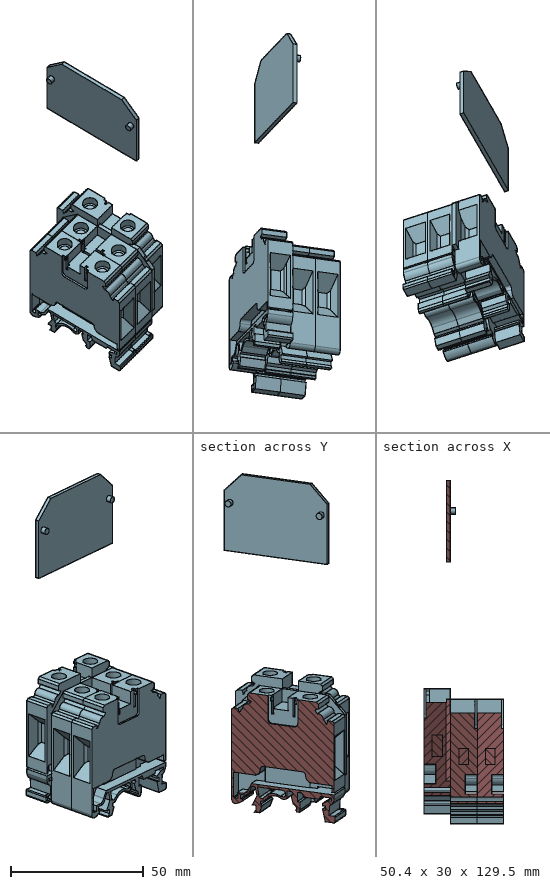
import cadquery as cq


STACK_DEPTH = 30.0
HOUSING_COUNT = 3
HOUSING_DEPTH = STACK_DEPTH / HOUSING_COUNT
HOUSING_WIDTH = 42.6
HOUSING_TOP = 47.0
HEAD_CHAMFER = 0.8
SHOULDER_RADIUS = 2.1
HOOK_RADIUS = 1.5
REAR_SHIFT_X = -2.7
REAR_RAISE = 3.9

STRIP_TOP = 11.3
STRIP_UNDERSIDE = 10.1
SLOT_START = 33.5
SLOT_HEIGHT = 0.8

RECESS_SIDE_DEPTH = 4.8
RECESS_MIDDLE_DEPTH = 4.4
RECESS_MIDDLE_LEFT = 12.0
RECESS_MIDDLE_RIGHT = 30.6
RECESS_SIDE_TOP = 14.6
RECESS_MIDDLE_TOP = 18.5
RECESS_LEFT = 0.9
RECESS_RIGHT = 41.5

BACK_POCKET_DEPTH = 1.3
BACK_POCKET_RIGHT = 41.8
BACK_POCKET_TOP = 15.3
BACK_POCKET_RADIUS = 0.8
FOOT_POCKET_LEFT = 40.2
FOOT_POCKET_RIGHT = 42.1
FOOT_POCKET_BOTTOM = 0.8
FOOT_POCKET_TOP = 2.7

NOTCH_LEFT = 16.6
NOTCH_RIGHT = 23.2
NOTCH_FLOOR = 41.8
MARKER_LEFT = 15.2
MARKER_RIGHT = 27.3
MARKER_BOTTOM = 36.0
MARKER_RADIUS = 1.4
MARKER_DEPTH = 0.8
GROOVE_WIDTH = 0.8
GROOVE_INSET = 1.3
GROOVE_BOTTOM = 39.8
GROOVE_DEPTH = 1.3
GROOVE_HEAD_OVERHANG = 0.5
GROOVE_HEAD_HEIGHT = 1.4
GROOVE_HEAD_TOP = 46.1

SCREW_XS = (12.3, 30.3)
SCREW_Y = 5.5
SCREW_HOLE_DIAMETER = 5.6
SCREW_HOLE_DEPTH = 3.4
SCREW_DIAMETER = 3.9

FUNNEL_BOTTOM = 16.8
FUNNEL_TOP = 34.3
FUNNEL_WIDTH = 8.0
FUNNEL_WAIST_WIDTH = 5.7
FUNNEL_WAIST_SHARE = 0.82
LEFT_FUNNEL_END = (5.7, 3.4, 22.4, 28.4)
RIGHT_FUNNEL_END = (4.9, 3.9, 21.5, 29.5)

PLATE_HEIGHT = 30.8
PLATE_THICKNESS = 1.5
PLATE_CHAMFER = 7.0
PIN_DIAMETER = 2.5
PIN_LENGTH = 2.0
PIN_INSET = 2.5
PIN_DROP = 11.5
PLATE_Y = (HOUSING_COUNT - 1) * HOUSING_DEPTH
SPARE_PLATE_X = -7.4
SPARE_PLATE_TOP = 129.4


def extrude_from_front(outline, start_y, depth):
    """Extrude an outline drawn in X and Z from start_y towards +Y."""
    return outline.extrude(-depth).translate((0, start_y, 0))


def box(x0, x1, y0, y1, z0, z1):
    return cq.Workplane("XY").box(x1 - x0, y1 - y0, z1 - z0, centered=False).translate((x0, y0, z0))


def housing_blank():
    """The outer profile: stepped shoulders, closed wall at the left, rail feet below."""
    right = HOUSING_WIDTH
    outline = (
        cq.Workplane("XZ")
        .moveTo(0, 3.9)
        .lineTo(0, 39.5)
        .lineTo(0.8, 40.3)
        .lineTo(2.8, 40.3)
        .lineTo(3.2, 38.7)
        .lineTo(3.9, 39.8)
        .lineTo(4.5, 40.4)
        .radiusArc((6.6, 42.5), SHOULDER_RADIUS)
        .lineTo(7.0, 42.5)
        .lineTo(8.0, 43.7)
        .lineTo(6.6, 44.3)
        .lineTo(6.6, HOUSING_TOP - HEAD_CHAMFER)
        .lineTo(6.6 + HEAD_CHAMFER, HOUSING_TOP)
        .lineTo(right - 6.6 - HEAD_CHAMFER, HOUSING_TOP)
        .lineTo(right - 6.6, HOUSING_TOP - HEAD_CHAMFER)
        .lineTo(right - 6.6, 44.3)
        .lineTo(right - 8.0, 43.7)
        .lineTo(right - 7.0, 42.5)
        .lineTo(right - 6.6, 42.5)
        .radiusArc((right - 4.5, 40.4), SHOULDER_RADIUS)
        .lineTo(right - 3.9, 39.8)
        .lineTo(right - 3.2, 38.7)
        .lineTo(right - 2.8, 40.3)
        .lineTo(right - 0.8, 40.3)
        .lineTo(right, 39.5)
        .lineTo(right, 9.5)
        .threePointArc((42.0, 7.9), (40.7, 6.7))
        .lineTo(40.4, 2.8)
        .lineTo(42.6, 2.8)
        .lineTo(43.0, 2.5)
        .lineTo(43.0, 0.6)
        .lineTo(42.5, 0)
        .lineTo(38.7, 0)
        .lineTo(37.5, 4.9)
        .lineTo(38.7, 4.7)
        .lineTo(38.7, 6.2)
        .lineTo(37.7, 6.2)
        .lineTo(37.5, 7.1)
        .lineTo(40.0, 8.7)
        .lineTo(41.3, 8.7)
        .lineTo(41.3, 9.7)
        .lineTo(36.8, 9.7)
        .lineTo(36.3, 8.5)
        .lineTo(29.8, 8.5)
        .lineTo(29.1, STRIP_UNDERSIDE)
        .lineTo(27.3, STRIP_UNDERSIDE)
        .lineTo(27.3, 6.6)
        .lineTo(28.5, 6.6)
        .lineTo(28.5, 3.5)
        .lineTo(28.1, 2.3)
        .lineTo(27.0, 2.3)
        .lineTo(26.5, 3.1)
        .lineTo(27.0, 3.5)
        .lineTo(26.5, 4.7)
        .lineTo(25.4, 5.5)
        .lineTo(24.6, 8.5)
        .lineTo(25.4, 9.2)
        .lineTo(25.0, STRIP_UNDERSIDE)
        .lineTo(23.0, STRIP_UNDERSIDE)
        .lineTo(23.0, 7.4)
        .threePointArc((21.9, 6.6), (20.7, 6.7))
        .threePointArc((17.7, 7.5), (15.3, 6.6))
        .lineTo(13.5, 4.9)
        .lineTo(12.2, 4.7)
        .lineTo(12.2, 3.5)
        .lineTo(12.8, 3.1)
        .lineTo(11.7, 0)
        .lineTo(9.7, 0)
        .lineTo(9.3, -0.1)
        .lineTo(10.1, 1.2)
        .lineTo(10.1, 2.7)
        .lineTo(8.5, 2.7)
        .lineTo(10.5, 6.6)
        .lineTo(9.7, STRIP_UNDERSIDE)
        .lineTo(8.5, STRIP_UNDERSIDE)
        .lineTo(7.6, 8.0)
        .threePointArc((7.0, 6.9), (6.0, 6.2))
        .lineTo(3.9, 6.2)
        .lineTo(3.9, 4.7)
        .lineTo(4.7, 4.7)
        .lineTo(4.7, 3.9)
        .threePointArc((3.5, 3.0), (1.5, 2.3))
        .radiusArc((0, 3.9), HOOK_RADIUS)
        .close()
    )
    return extrude_from_front(outline, 0, HOUSING_DEPTH)


def spring_window():
    """Opening between the base strip and the bowed spring, through the housing."""
    outline = (
        cq.Workplane("XZ")
        .moveTo(10.9, STRIP_UNDERSIDE)
        .lineTo(21.1, STRIP_UNDERSIDE)
        .threePointArc((22.0, 9.7), (22.3, 9.0))
        .lineTo(22.3, 8.2)
        .lineTo(21.9, 7.8)
        .lineTo(20.3, 7.8)
        .threePointArc((17.9, 8.5), (14.5, 7.4))
        .lineTo(12.8, 5.8)
        .lineTo(11.7, 6.2)
        .close()
    )
    return extrude_from_front(outline, 0, HOUSING_DEPTH)


def base_recess():
    """Recess above the base strip; its two ends are deeper than its raised middle."""
    outline = (
        cq.Workplane("XZ")
        .moveTo(RECESS_LEFT, 4.9)
        .lineTo(RECESS_LEFT, RECESS_SIDE_TOP)
        .lineTo(10.0, RECESS_SIDE_TOP)
        .threePointArc((11.1, 15.3), (RECESS_MIDDLE_LEFT, 17.1))
        .threePointArc((12.3, 18.0), (13.2, RECESS_MIDDLE_TOP))
        .lineTo(29.4, RECESS_MIDDLE_TOP)
        .threePointArc((30.3, 18.0), (RECESS_MIDDLE_RIGHT, 17.1))
        .threePointArc((31.5, 15.3), (32.6, RECESS_SIDE_TOP))
        .lineTo(RECESS_RIGHT, RECESS_SIDE_TOP)
        .lineTo(RECESS_RIGHT, STRIP_TOP)
        .lineTo(8.3, STRIP_TOP)
        .lineTo(6.9, 8.5)
        .threePointArc((6.1, 7.5), (5.0, 7.0))
        .lineTo(2.6, 7.0)
        .lineTo(2.6, 4.7)
        .lineTo(1.2, 4.7)
        .close()
    )
    deep = extrude_from_front(outline, 0, RECESS_SIDE_DEPTH)
    raised_middle = box(
        RECESS_MIDDLE_LEFT, RECESS_MIDDLE_RIGHT, RECESS_MIDDLE_DEPTH, RECESS_SIDE_DEPTH, 0, HOUSING_TOP
    )
    return deep.cut(raised_middle)


def back_pockets():
    """Shallow pockets in the back face, beside the slot and in the right foot."""
    start_y = HOUSING_DEPTH - BACK_POCKET_DEPTH
    beside_slot = box(SLOT_START, BACK_POCKET_RIGHT, start_y, HOUSING_DEPTH, STRIP_TOP, BACK_POCKET_TOP)
    beside_slot = beside_slot.edges("|Y and >Z and >X").fillet(BACK_POCKET_RADIUS)
    in_foot = box(
        FOOT_POCKET_LEFT, FOOT_POCKET_RIGHT, start_y, HOUSING_DEPTH, FOOT_POCKET_BOTTOM, FOOT_POCKET_TOP
    )
    return beside_slot.union(in_foot)


def marker_pocket():
    """Shallow pocket at the top of the front face with two hooked grooves in its floor."""
    pocket = box(MARKER_LEFT, MARKER_RIGHT, 0, MARKER_DEPTH, MARKER_BOTTOM, HOUSING_TOP)
    pocket = pocket.edges("|Y and <Z").fillet(MARKER_RADIUS)
    groove_y = MARKER_DEPTH + GROOVE_DEPTH
    head_bottom = GROOVE_HEAD_TOP - GROOVE_HEAD_HEIGHT
    for side_x, outward in ((MARKER_LEFT, -1), (MARKER_RIGHT, 1)):
        outer = side_x - outward * GROOVE_INSET
        inner = outer - outward * GROOVE_WIDTH
        head = outer + outward * GROOVE_HEAD_OVERHANG
        stem_left, stem_right = sorted((inner, outer))
        head_left, head_right = sorted((inner, head))
        pocket = pocket.union(box(stem_left, stem_right, 0, groove_y, GROOVE_BOTTOM, HOUSING_TOP))
        pocket = pocket.union(box(head_left, head_right, 0, groove_y, head_bottom, GROOVE_HEAD_TOP))
    return pocket


def funnel(end_face):
    """Wire funnel opening at X = 0 and narrowing in two stages towards +X."""
    end_depth, end_width, end_bottom, end_top = end_face
    waist_bottom = FUNNEL_BOTTOM + FUNNEL_WAIST_SHARE * (end_bottom - FUNNEL_BOTTOM)
    waist_top = FUNNEL_TOP + FUNNEL_WAIST_SHARE * (end_top - FUNNEL_TOP)
    sections = (
        (0, FUNNEL_WIDTH, FUNNEL_BOTTOM, FUNNEL_TOP),
        (FUNNEL_WAIST_SHARE * end_depth, FUNNEL_WAIST_WIDTH, waist_bottom, waist_top),
        (end_depth, end_width, end_bottom, end_top),
    )
    outline = cq.Workplane("YZ")
    last_x = 0
    last_z = 0
    for x, width, bottom, top in sections:
        middle_z = (bottom + top) / 2
        outline = outline.workplane(offset=x - last_x).center(0, middle_z - last_z).rect(width, top - bottom)
        last_x = x
        last_z = middle_z
    return outline.loft(ruled=True).translate((0, HOUSING_DEPTH / 2, 0))


def screw_holes():
    places = [(x, SCREW_Y) for x in SCREW_XS]
    floor = cq.Workplane("XY").workplane(offset=HOUSING_TOP - SCREW_HOLE_DEPTH)
    return floor.pushPoints(places).circle(SCREW_HOLE_DIAMETER / 2).extrude(SCREW_HOLE_DEPTH)


def make_terminal():
    """Current bar closing both wire funnels, with two screws up to the screw hole floors."""
    middle_x = HOUSING_WIDTH / 2
    middle_y = HOUSING_DEPTH / 2
    left_depth, left_width, left_bottom, left_top = LEFT_FUNNEL_END
    right_depth, right_width, right_bottom, right_top = RIGHT_FUNNEL_END
    left_bar = box(
        left_depth, middle_x,
        middle_y - left_width / 2, middle_y + left_width / 2,
        left_bottom, left_top,
    )
    right_bar = box(
        middle_x, HOUSING_WIDTH - right_depth,
        middle_y - right_width / 2, middle_y + right_width / 2,
        right_bottom, right_top,
    )
    screw_bottom = (left_bottom + left_top) / 2
    screw_top = HOUSING_TOP - SCREW_HOLE_DEPTH
    screws = (
        cq.Workplane("XY", origin=(0, 0, screw_bottom))
        .pushPoints([(x, SCREW_Y) for x in SCREW_XS])
        .circle(SCREW_DIAMETER / 2)
        .extrude(screw_top - screw_bottom)
    )
    return left_bar.union(right_bar).union(screws)


def make_housing():
    right_funnel = funnel(RIGHT_FUNNEL_END).mirror("YZ").translate((HOUSING_WIDTH, 0, 0))
    slot = box(SLOT_START, HOUSING_WIDTH, 0, HOUSING_DEPTH, STRIP_TOP, STRIP_TOP + SLOT_HEIGHT)
    notch = box(NOTCH_LEFT, NOTCH_RIGHT, 0, HOUSING_DEPTH, NOTCH_FLOOR, HOUSING_TOP)
    return (
        housing_blank()
        .cut(spring_window())
        .cut(base_recess())
        .cut(slot)
        .cut(back_pockets())
        .cut(notch)
        .cut(marker_pocket())
        .cut(screw_holes())
        .cut(funnel(LEFT_FUNNEL_END))
        .cut(right_funnel)
        .cut(make_terminal())
    )


def make_end_plate(left_x, top_z):
    """Plate with two chamfered top corners and two pins on its front face."""
    plate = box(
        left_x, left_x + HOUSING_WIDTH, PLATE_Y, PLATE_Y + PLATE_THICKNESS, top_z - PLATE_HEIGHT, top_z
    )
    plate = plate.edges("|Y and >Z").chamfer(PLATE_CHAMFER)
    pin_z = top_z - PIN_DROP
    pins = (
        cq.Workplane("XZ", origin=(0, PLATE_Y, 0))
        .pushPoints([(left_x + PIN_INSET, pin_z), (left_x + HOUSING_WIDTH - PIN_INSET, pin_z)])
        .circle(PIN_DIAMETER / 2)
        .extrude(PIN_LENGTH)
    )
    return plate.union(pins)


def turn_to_rear(body):
    """Turn a front housing part half a turn about Z and move it to the rear place."""
    turned = body.rotate((0, 0, 0), (0, 0, 1), 180)
    return turned.translate((REAR_SHIFT_X + HOUSING_WIDTH, STACK_DEPTH, REAR_RAISE))


fitted_plate = make_end_plate(0, HOUSING_TOP)
spare_plate = make_end_plate(SPARE_PLATE_X, SPARE_PLATE_TOP)

housing = make_housing()
terminal = make_terminal()

housings = []
terminals = []
for row in range(HOUSING_COUNT - 1):
    place = (0, row * HOUSING_DEPTH, 0)
    housings.append(housing.translate(place).cut(fitted_plate))
    terminals.append(terminal.translate(place))
housings.append(turn_to_rear(housing).cut(fitted_plate))
terminals.append(turn_to_rear(terminal))

result = cq.Compound.makeCompound(
    [body.val() for body in housings + terminals + [fitted_plate, spare_plate]]
)